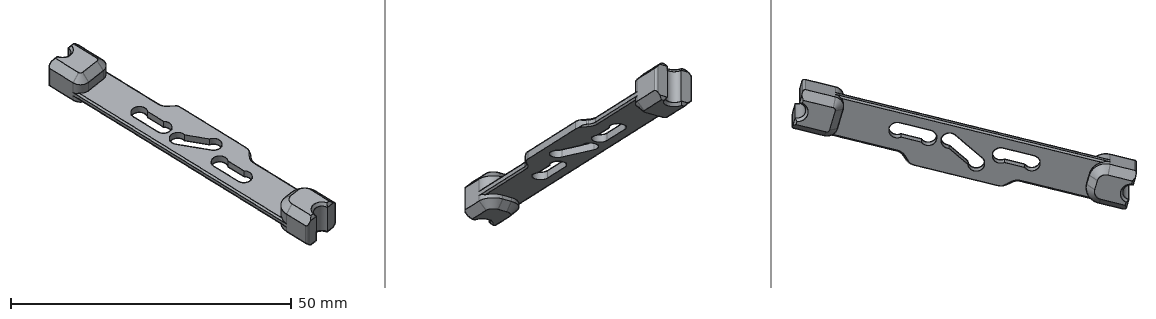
import cadquery as cq

length = 61.7
width = 7.9
tab_width = 9.6
block_height = 7.3

block_length = 7.95
left_corner_radius = 2.0
right_corner_radius = 3.0
side_chamfer = 1.5
end_corner_radius = 0.46
groove_radius = 1.5
end_chamfer_depth = 0.45
end_chamfer_height = 0.6

bar_thickness = 1.5
bar_middle_z = -0.7
bar_chamfer = 0.34
tab_half_length = 8.9
tab_bend_radius = 2.0
tab_corner_radius = 3.0

slot_end_diameter = 3.0
slot_width = 2.65
slot_y = 3.75
slot_x = 9.55
slot_spacing = 5.75
slanted_slot_y = 4.9
slanted_slot_spacing = 6.55
slanted_slot_angle = 28.0

bar_bottom = bar_middle_z - bar_thickness / 2
half_height = block_height / 2
tab_foot_x = tab_half_length + tab_width - width


def near_side_line(y):
    """Selector for edges at the given Y within the reach of the tab."""
    margin = 0.05
    reach = tab_foot_x + margin
    return cq.selectors.BoxSelector(
        (-reach, y - margin, -half_height), (reach, y + margin, half_height)
    )


def make_bar():
    """Flat bar with a raised tab along the middle of its rear side."""
    end_x = length / 2 - block_length / 2
    bar = (
        cq.Workplane("XY", origin=(0, 0, bar_bottom))
        .moveTo(-end_x, 0)
        .lineTo(end_x, 0)
        .lineTo(end_x, width)
        .lineTo(tab_foot_x, width)
        .lineTo(tab_half_length, tab_width)
        .lineTo(-tab_half_length, tab_width)
        .lineTo(-tab_foot_x, width)
        .lineTo(-end_x, width)
        .close()
        .extrude(bar_thickness)
    )
    bar = bar.edges("|Z").edges(near_side_line(width)).fillet(tab_bend_radius)

    bar = bar.faces("<Z or >Z").edges("not(>Y or <X or >X)").chamfer(bar_chamfer)
    return bar.edges("|Z").edges(near_side_line(tab_width)).fillet(tab_corner_radius)


def make_slot(x, y, spacing, angle):
    """Through slot whose lower side is tangent to both of its larger round ends."""
    round_ends = (
        cq.Workplane("XY", origin=(0, 0, -half_height))
        .pushPoints([(-spacing / 2, 0), (spacing / 2, 0)])
        .circle(slot_end_diameter / 2)
        .extrude(block_height)
    )
    channel = (
        cq.Workplane("XY", origin=(0, (slot_width - slot_end_diameter) / 2, -half_height))
        .rect(spacing, slot_width)
        .extrude(block_height)
    )
    return round_ends.union(channel).rotate((0, 0, 0), (0, 0, 1), angle).translate((x, y, 0))


def make_end_cutter():
    """Vertical groove and edge chamfers at the left end, as the solid to remove."""
    end_x = -length / 2
    middle_y = width / 2
    groove = (
        cq.Workplane("XY", origin=(end_x, middle_y, -half_height))
        .circle(groove_radius)
        .extrude(block_height)
    )
    flare = (
        cq.Workplane("XZ", origin=(end_x, middle_y, 0))
        .moveTo(0, half_height - end_chamfer_height)
        .lineTo(groove_radius, half_height - end_chamfer_height)
        .lineTo(groove_radius + end_chamfer_depth, half_height)
        .lineTo(0, half_height)
        .close()
        .revolve(360, (0, 0), (0, 1))
    )
    wedge = (
        cq.Workplane("XZ", origin=(end_x, width, 0))
        .moveTo(0, half_height - end_chamfer_height)
        .lineTo(end_chamfer_depth, half_height)
        .lineTo(0, half_height)
        .close()
        .extrude(width)
    )
    top = flare.union(wedge)
    return groove.union(top).union(top.mirror("XY"))


def make_block(corner_radius):
    """End block at the left; corner_radius rounds the corners that face the bar."""
    box = (
        cq.Workplane("XY")
        .box(block_length, width, block_height)
        .translate(((block_length - length) / 2, width / 2, 0))
    )
    rounded_ends = box.edges("|Z and <X").fillet(end_corner_radius)
    block = box.edges("|Z and >X").fillet(corner_radius)
    block = block.faces("<Z or >Z").edges("not(<X)").chamfer(side_chamfer)
    return block.intersect(rounded_ends).cut(make_end_cutter())


left_block = make_block(left_corner_radius)
right_block = make_block(right_corner_radius).mirror("YZ")

bar = make_bar()
for x in (-slot_x, slot_x):
    bar = bar.cut(make_slot(x, slot_y, slot_spacing, 0))
bar = bar.cut(make_slot(0, slanted_slot_y, slanted_slot_spacing, slanted_slot_angle))

result = bar.union(left_block).union(right_block)